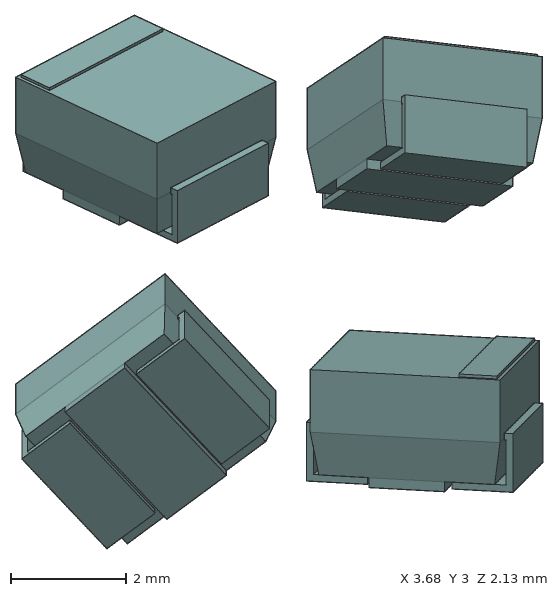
import cadquery as cq

LEAD_SPAN = 3.68

HOUSING_X = 3.38
HOUSING_Y = 3.0
PAD_X = 1.347
PAD_HEIGHT = 0.175
TAPER_TOP = 0.965
TAPER_INSET = 0.125
HOUSING_TOP = 2.08
TAPER_BOTTOM_X = HOUSING_X - 2 * TAPER_INSET
TAPER_BOTTOM_Y = HOUSING_Y - 2 * TAPER_INSET

MARK_X = 0.68
MARK_HEIGHT = 0.05
MARK_MARGIN = 0.065
MARK_Y = HOUSING_Y - 2 * MARK_MARGIN

LEAD_THICKNESS = 0.125
LEAD_WIDTH = 2.3
LEAD_TOP = 1.05
LEAD_FOOT = 1.09

LEAD_UNDERSIDE = LEAD_TOP - LEAD_THICKNESS
WALL_INSET = TAPER_INSET * (TAPER_TOP - LEAD_UNDERSIDE) / (TAPER_TOP - PAD_HEIGHT)
LEAD_END_X = HOUSING_X / 2 - WALL_INSET


def box_on(z, size_x, size_y, height, center_x=0.0):
    """Block centred in Y whose bottom face lies at height z."""
    return (
        cq.Workplane("XY", origin=(center_x, 0, z))
        .box(size_x, size_y, height, centered=(True, True, False))
    )


def make_lead(side):
    """C-shaped lead on the +X (side = 1) or -X (side = -1) end."""
    outer = LEAD_SPAN / 2
    inner = outer - LEAD_THICKNESS
    foot_end = outer - LEAD_FOOT
    profile = [
        (LEAD_END_X, LEAD_TOP),
        (outer, LEAD_TOP),
        (outer, 0),
        (foot_end, 0),
        (foot_end, LEAD_THICKNESS),
        (inner, LEAD_THICKNESS),
        (inner, LEAD_UNDERSIDE),
        (LEAD_END_X, LEAD_UNDERSIDE),
    ]
    return (
        cq.Workplane("XZ")
        .polyline([(side * x, z) for x, z in profile])
        .close()
        .extrude(LEAD_WIDTH / 2, both=True)
    )


def make_housing(leads):
    """Moulded housing with its base pad and mark, recessed for the lead ends."""
    pad = box_on(0, PAD_X, TAPER_BOTTOM_Y, PAD_HEIGHT)
    lower = (
        cq.Workplane("XY", origin=(0, 0, PAD_HEIGHT))
        .rect(TAPER_BOTTOM_X, TAPER_BOTTOM_Y)
        .workplane(offset=TAPER_TOP - PAD_HEIGHT)
        .rect(HOUSING_X, HOUSING_Y)
        .loft(ruled=True)
    )
    upper = box_on(TAPER_TOP, HOUSING_X, HOUSING_Y, HOUSING_TOP - TAPER_TOP)
    mark_center = -HOUSING_X / 2 + MARK_MARGIN + MARK_X / 2
    mark = box_on(HOUSING_TOP, MARK_X, MARK_Y, MARK_HEIGHT, mark_center)
    housing = lower.union(upper).union(pad).union(mark)
    for lead in leads:
        housing = housing.cut(lead)
    return housing


leads = [make_lead(side) for side in (-1, 1)]
housing = make_housing(leads)

result = cq.Compound.makeCompound([housing.val(), *[lead.val() for lead in leads]])